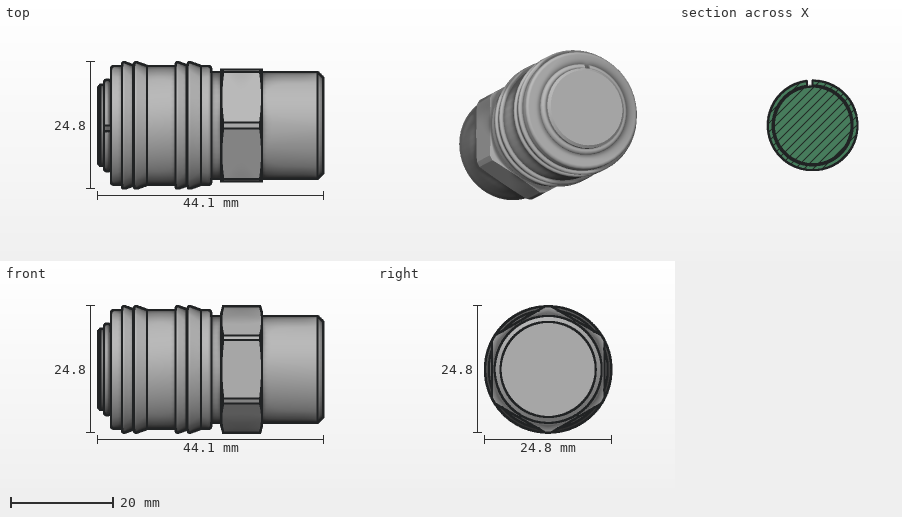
import cadquery as cq
import math

TOTAL_LENGTH = 44.1

SPIGOT_DIAMETER = 15.95
SPIGOT_CHAMFER = 0.5
NECK_DIAMETER = 21.0
HEX_START = 24.1
HEX_LENGTH = 8.0
HEX_ACROSS_FLATS = 22.0
HEX_CORNER_DIAMETER = 24.8
HEX_END_DIAMETER = 21.9
HEX_CHAMFER_ANGLE = 15.0
NIPPLE_DIAMETER = 20.95
NIPPLE_CHAMFER = 1.16

RING_OUTER_DIAMETER = 18.0
RING_WIRE_DIAMETER = 1.4
RING_SEAT_DEPTH = 0.05
RING_GAP = 1.05
RING_GAP_OFFSET = 0.05

SLEEVE_START = 2.53
SLEEVE_END = 22.15
SLEEVE_DIAMETER = 23.3
SLEEVE_EDGE_RADIUS = 0.6
SLEEVE_FRONT_BORE = 16.1
SLEEVE_REAR_BORE = 21.1
SLEEVE_LIP_LENGTH = 2.5

RIDGE_PEAK_DIAMETER = 24.8
RIDGE_TIP_RADIUS = 0.43
RIDGE_SLOPE = math.radians(20)
RIDGE_PAIR_STARTS = (4.7, 15.2)
RIDGE_PITCH = 2.35
RIDGE_FOOT_LENGTH = 0.2

SHOULDER_X = SLEEVE_START + SLEEVE_LIP_LENGTH
HEX_END = HEX_START + HEX_LENGTH


def cylinder(start, end, diameter):
    """Solid cylinder along X between two stations."""
    return cq.Workplane("YZ", origin=(start, 0, 0)).circle(diameter / 2).extrude(end - start)


def revolve_about_x(profile):
    return profile.close().revolve(360, (0, 0, 0), (1, 0, 0))


def make_hexagon():
    """Hexagon with flats facing +/-Y, turned-off corners and chamfered ends."""
    across_corners = HEX_ACROSS_FLATS / math.cos(math.pi / 6)
    prism = (
        cq.Workplane("YZ", origin=(HEX_START, 0, 0))
        .transformed(rotate=(0, 0, 90))
        .polygon(6, across_corners)
        .extrude(HEX_LENGTH)
    )
    corner_radius = HEX_CORNER_DIAMETER / 2
    end_radius = HEX_END_DIAMETER / 2
    chamfer_length = (corner_radius - end_radius) * math.tan(math.radians(HEX_CHAMFER_ANGLE))
    turned_blank = revolve_about_x(
        cq.Workplane("XY")
        .moveTo(HEX_START, 0)
        .lineTo(HEX_START, end_radius)
        .lineTo(HEX_START + chamfer_length, corner_radius)
        .lineTo(HEX_END - chamfer_length, corner_radius)
        .lineTo(HEX_END, end_radius)
        .lineTo(HEX_END, 0)
    )
    return prism.intersect(turned_blank)


def make_retaining_ring():
    """Round-wire ring touching the sleeve front, split at the top on the -Y side of centre."""
    wire_radius = RING_WIRE_DIAMETER / 2
    centre_radius = RING_OUTER_DIAMETER / 2 - wire_radius
    ring = (
        cq.Workplane("XY")
        .center(SLEEVE_START - wire_radius, centre_radius)
        .circle(wire_radius)
        .revolve(360, (0, -centre_radius, 0), (1, -centre_radius, 0))
    )
    gap = cq.Workplane("XY").box(
        SLEEVE_START, RING_GAP, RING_OUTER_DIAMETER / 2, centered=(False, False, False)
    )
    return ring.cut(gap.translate((0, -RING_GAP - RING_GAP_OFFSET, 0)))


def make_core():
    spigot = cylinder(0, SHOULDER_X, SPIGOT_DIAMETER).faces("<X").chamfer(SPIGOT_CHAMFER)
    groove_floor = RING_OUTER_DIAMETER - 2 * RING_WIRE_DIAMETER + 2 * RING_SEAT_DEPTH
    groove_start = SLEEVE_START - RING_WIRE_DIAMETER
    groove = cylinder(groove_start, SLEEVE_START, NECK_DIAMETER).cut(
        cylinder(groove_start, SLEEVE_START, groove_floor)
    )
    neck = cylinder(SHOULDER_X, HEX_START, NECK_DIAMETER)
    nipple = cylinder(HEX_END, TOTAL_LENGTH, NIPPLE_DIAMETER).faces(">X").chamfer(NIPPLE_CHAMFER)
    core = spigot.cut(groove).union(neck).union(make_hexagon()).union(nipple)
    return core.union(make_retaining_ring())


def make_ridge(start, end=None):
    """Ridge with a rounded tip; its sloping back runs to the sleeve, or is cut short at a foot."""
    sleeve_radius = SLEEVE_DIAMETER / 2
    tip_x = start + RIDGE_TIP_RADIUS
    tip_centre_r = RIDGE_PEAK_DIAMETER / 2 - RIDGE_TIP_RADIUS
    slope_x = tip_x + RIDGE_TIP_RADIUS * math.sin(RIDGE_SLOPE)
    slope_r = tip_centre_r + RIDGE_TIP_RADIUS * math.cos(RIDGE_SLOPE)
    profile = (
        cq.Workplane("XY")
        .moveTo(start, 0)
        .lineTo(start, tip_centre_r)
        .radiusArc((tip_x, RIDGE_PEAK_DIAMETER / 2), RIDGE_TIP_RADIUS)
        .radiusArc((slope_x, slope_r), RIDGE_TIP_RADIUS)
    )
    if end is None:
        end = slope_x + (slope_r - sleeve_radius) / math.tan(RIDGE_SLOPE)
        profile = profile.lineTo(end, sleeve_radius)
    else:
        foot_x = end - RIDGE_FOOT_LENGTH
        foot_r = slope_r - (foot_x - slope_x) * math.tan(RIDGE_SLOPE)
        profile = profile.lineTo(foot_x, foot_r).lineTo(end, foot_r)
    return revolve_about_x(profile.lineTo(end, 0))


def make_sleeve():
    sleeve = cylinder(SLEEVE_START, SLEEVE_END, SLEEVE_DIAMETER).edges().fillet(SLEEVE_EDGE_RADIUS)
    for pair_start in RIDGE_PAIR_STARTS:
        second_start = pair_start + RIDGE_PITCH
        sleeve = sleeve.union(make_ridge(pair_start, second_start))
        sleeve = sleeve.union(make_ridge(second_start))
    front_bore = cylinder(SLEEVE_START, SHOULDER_X, SLEEVE_FRONT_BORE)
    rear_bore = cylinder(SHOULDER_X, SLEEVE_END, SLEEVE_REAR_BORE)
    return sleeve.cut(front_bore).cut(rear_bore)


core = make_core()
sleeve = make_sleeve()
result = cq.Compound.makeCompound([*core.solids().vals(), *sleeve.solids().vals()])